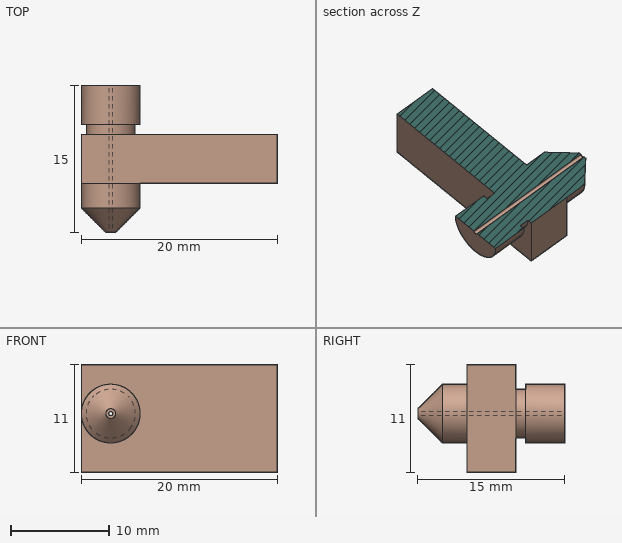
import cadquery as cq

block_length = 20.0
block_thickness = 5.0
block_height = 11.0

axis_x = 3.0
axis_z = 6.0

body_radius = 3.0
collar_length = 2.5
cone_length = 2.5
tip_radius = 0.5
bore_radius = 0.2

neck_radius = 2.5
neck_length = 1.0
rear_length = 4.0

tip_y = -(collar_length + cone_length)
neck_end_y = block_thickness + neck_length
rear_y = neck_end_y + rear_length


def make_block():
    return cq.Workplane("XY").box(block_length, block_thickness, block_height, centered=False)


def make_nozzle():
    """Revolve the half profile (radius, position along Y) about the nozzle axis."""
    profile = [
        (0, tip_y),
        (tip_radius, tip_y),
        (body_radius, -collar_length),
        (body_radius, 0),
        (neck_radius, 0),
        (neck_radius, neck_end_y),
        (body_radius, neck_end_y),
        (body_radius, rear_y),
        (0, rear_y),
    ]
    nozzle = cq.Workplane("XY").polyline(profile).close().revolve(360, (0, 0), (0, 1))
    return nozzle.translate((axis_x, 0, axis_z))


def make_bore():
    """Fine straight bore through the whole nozzle and block."""
    bore = cq.Workplane("XZ").circle(bore_radius).extrude(tip_y - rear_y)
    return bore.translate((axis_x, tip_y, axis_z))


result = make_block().union(make_nozzle()).cut(make_bore())